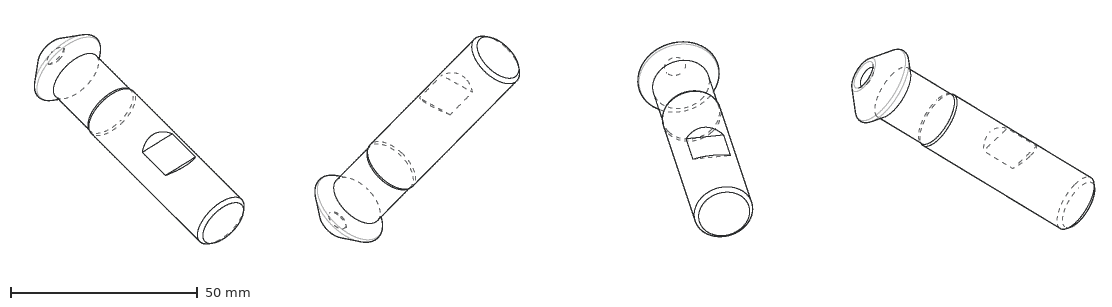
import cadquery as cq
import math

total_length = 74.0
x_start = -total_length / 2

rim_diameter = 22.2
rim_round = 0.8
neck_diameter = 15.5

lip_crest_diameter = 9.2
lip_round = 0.75
socket_floor_diameter = 5.8

shank_diameter = 16.0
shank_step_x = x_start + 25.9
step_length = 0.7
end_chamfer = 1.0

notch_depth = 1.85
notch_floor_length = 10.1
notch_center_x = x_start + 50.5


def revolve_about_x(profile):
    """Revolve a profile drawn in the XZ plane about the X axis."""
    return profile.close().revolve(360, (0, 0, 0), (1, 0, 0))


def make_head():
    """Build the head and return it with the X position of its joint to the shank."""
    rim_offset = rim_round * math.sin(math.radians(45))
    lip_offset = lip_round * math.sin(math.radians(45))
    rim_radius = rim_diameter / 2
    lip_radius = lip_crest_diameter / 2
    rim_tangent_radius = rim_radius - rim_round + rim_offset
    lip_outer_radius = lip_radius + lip_offset
    lip_inner_radius = lip_radius - lip_offset
    floor_radius = socket_floor_diameter / 2
    neck_radius = neck_diameter / 2

    lip_tangent_x = x_start + lip_round - lip_offset
    rim_front_x = lip_tangent_x + rim_tangent_radius - lip_outer_radius
    rim_center_x = rim_front_x + rim_offset
    rim_rear_x = rim_center_x + rim_offset
    head_end_x = rim_rear_x + rim_tangent_radius - neck_radius
    floor_x = lip_tangent_x + lip_inner_radius - floor_radius

    head = revolve_about_x(
        cq.Workplane("XZ")
        .moveTo(floor_x, 0)
        .lineTo(floor_x, floor_radius)
        .lineTo(lip_tangent_x, lip_inner_radius)
        .threePointArc((x_start, lip_radius), (lip_tangent_x, lip_outer_radius))
        .lineTo(rim_front_x, rim_tangent_radius)
        .threePointArc((rim_center_x, rim_radius), (rim_rear_x, rim_tangent_radius))
        .lineTo(head_end_x, neck_radius)
        .lineTo(head_end_x, 0)
    )
    return head, head_end_x


def make_shank(neck_start_x):
    """Build the shank from the end of the head to the chamfered far end."""
    x_end = x_start + total_length
    blank = revolve_about_x(
        cq.Workplane("XZ")
        .moveTo(neck_start_x, 0)
        .lineTo(neck_start_x, neck_diameter / 2)
        .lineTo(shank_step_x - step_length, neck_diameter / 2)
        .lineTo(shank_step_x, shank_diameter / 2)
        .lineTo(x_end - end_chamfer, shank_diameter / 2)
        .lineTo(x_end, shank_diameter / 2 - end_chamfer)
        .lineTo(x_end, 0)
    )
    top_z = shank_diameter / 2
    half_floor = notch_floor_length / 2
    notch = (
        cq.Workplane("XZ")
        .moveTo(notch_center_x - half_floor, top_z - notch_depth)
        .lineTo(notch_center_x + half_floor, top_z - notch_depth)
        .lineTo(notch_center_x + half_floor + notch_depth, top_z)
        .lineTo(notch_center_x - half_floor - notch_depth, top_z)
        .close()
        .extrude(shank_diameter / 2, both=True)
    )
    return blank.cut(notch)


head, head_end_x = make_head()
shank = make_shank(head_end_x)

result = cq.Compound.makeCompound([head.val(), shank.val()])